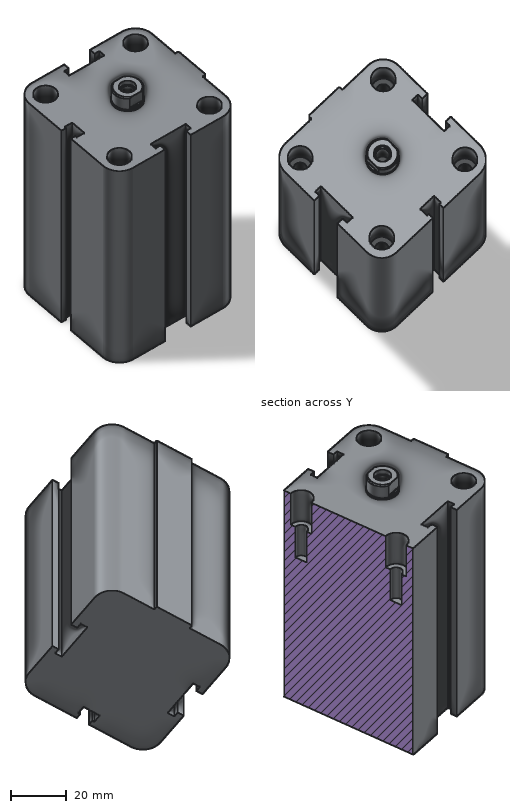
import cadquery as cq

housing_width = 57.0
housing_height = 95.5
corner_radius = 7.6

rib_width = 15.5
rib_height = 1.5
rib_chamfer = 0.3

side_slot_mouth = 11.9
side_slot_inner = 16.3
side_slot_lip = 2.7
side_slot_depth = 5.5
front_slot_mouth = 5.3
front_slot_inner = 6.9
front_slot_lip = 2.1
front_slot_depth = 5.6

screw_spacing = 41.8
counterbore_diameter = 9.0
counterbore_depth = 14.4
screw_hole_diameter = 4.9
screw_hole_depth = 28.6

total_height = 102.0
rod_diameter = 11.7
rod_depth = 14.4
rod_chamfer = 0.5
collar_diameter = 12.0
collar_height = 0.7
flat_width = 10.0
flat_start = 1.5
thread_diameter = 4.9
thread_mouth_diameter = 6.2
thread_mouth_depth = 2.0
thread_depth = 12.2

half_width = housing_width / 2
rod_projection = total_height - housing_height


def t_slot(mouth, inner, lip, depth):
    """T-slot cutter over the whole height, open towards -Y."""
    mouth_cut = (
        cq.Workplane("XY")
        .center(0, -half_width + depth / 2)
        .rect(mouth, depth)
        .extrude(housing_height)
    )
    inner_cut = (
        cq.Workplane("XY")
        .center(0, -half_width + (lip + depth) / 2)
        .rect(inner, depth - lip)
        .extrude(housing_height)
    )
    return mouth_cut.union(inner_cut)


def back_rib():
    """Full-height rib on the +Y face with chamfered outer edges."""
    rib_root = half_width - corner_radius
    rib_outer = half_width + rib_height
    return (
        cq.Workplane("XY")
        .center(0, (rib_root + rib_outer) / 2)
        .rect(rib_width, rib_outer - rib_root)
        .extrude(housing_height)
        .edges("|Z and >Y")
        .chamfer(rib_chamfer)
    )


def build_housing():
    body = (
        cq.Workplane("XY")
        .rect(housing_width, housing_width)
        .extrude(housing_height)
        .edges("|Z")
        .fillet(corner_radius)
        .union(back_rib())
    )

    side_slot = t_slot(side_slot_mouth, side_slot_inner, side_slot_lip, side_slot_depth)
    for angle in (-90, 90):
        body = body.cut(side_slot.rotate((0, 0, 0), (0, 0, 1), angle))
    body = body.cut(t_slot(front_slot_mouth, front_slot_inner, front_slot_lip, front_slot_depth))

    top = cq.Workplane("XY").workplane(offset=housing_height)
    screw_places = top.rect(screw_spacing, screw_spacing, forConstruction=True).vertices()
    body = body.cut(screw_places.circle(counterbore_diameter / 2).extrude(-counterbore_depth))
    body = body.cut(screw_places.circle(screw_hole_diameter / 2).extrude(-screw_hole_depth))

    return body.cut(top.circle(rod_diameter / 2).extrude(-rod_depth))


def build_rod():
    rod = (
        cq.Workplane("XY")
        .workplane(offset=housing_height - rod_depth)
        .circle(rod_diameter / 2)
        .extrude(rod_depth + rod_projection)
        .faces(">Z")
        .chamfer(rod_chamfer)
    )
    collar = (
        cq.Workplane("XY")
        .workplane(offset=housing_height)
        .circle(collar_diameter / 2)
        .extrude(collar_height)
    )
    rod = rod.union(collar)

    flats = (
        cq.Workplane("XY")
        .workplane(offset=housing_height + flat_start)
        .rect(2 * rod_diameter, 2 * rod_diameter)
        .rect(flat_width, 2 * rod_diameter)
        .extrude(rod_projection - flat_start)
    )
    rod = rod.cut(flats)

    top = cq.Workplane("XY").workplane(offset=total_height)
    rod = rod.cut(top.circle(thread_mouth_diameter / 2).extrude(-thread_mouth_depth))
    return rod.cut(top.circle(thread_diameter / 2).extrude(-thread_depth))


housing = build_housing()
rod = build_rod()
result = cq.Compound.makeCompound([housing.val(), rod.val()])